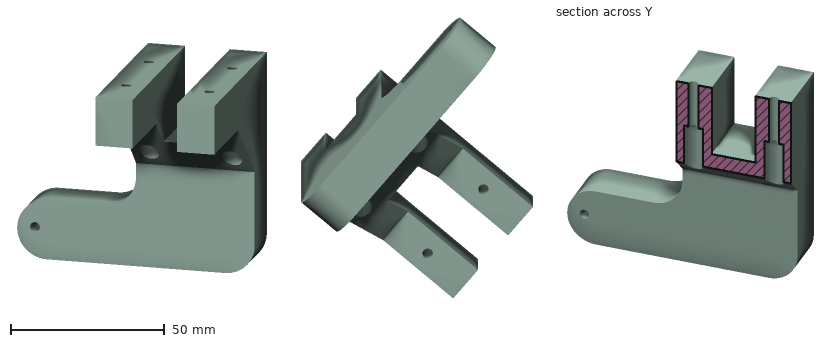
import cadquery as cq

length = 80.0
depth = 65.0
height = 71.4

plate_thickness = 15.0
foot_height = 20.0
corner_radius = foot_height / 2
upright_width = 40.0
upright_left = length - upright_width

arm_thickness = 16.4
arm_bottom = height - arm_thickness
gusset_size = 20.0
slot_width = 15.0
slot_depth = 25.0
upright_center = length - upright_width / 2

screw_diameter = 3.4
screw_clearance_diameter = 6.5
screw_spacing = 28.0
rear_screw_offset = 21.0

pivot_diameter = 3.3
pivot_x = 6.0
pivot_z = 10.6


def make_plate():
    """L-shaped plate with a rounded foot, extruded forward from the back face."""
    sketch = (
        cq.Workplane("XZ")
        .moveTo(corner_radius, 0)
        .lineTo(length - corner_radius, 0)
        .radiusArc((length, corner_radius), -corner_radius)
        .lineTo(length, height)
        .lineTo(upright_left, height)
        .lineTo(upright_left, foot_height + corner_radius)
        .radiusArc((upright_left - corner_radius, foot_height), corner_radius)
        .lineTo(corner_radius, foot_height)
        .threePointArc((0, corner_radius), (corner_radius, 0))
        .close()
    )
    return sketch.extrude(plate_thickness)


def make_arm_block():
    """Full-width arm block and its sloping gusset, before the fork slot is cut."""
    gusset_front = -(plate_thickness + gusset_size)
    profile = [
        (0, height),
        (-depth, height),
        (-depth, arm_bottom),
        (gusset_front, arm_bottom),
        (-plate_thickness, arm_bottom - gusset_size),
        (0, arm_bottom - gusset_size),
    ]
    block = cq.Workplane("YZ").polyline(profile).close().extrude(upright_width)
    return block.translate((upright_left, 0, 0))


def make_slot():
    """Open-topped slot that splits the block into two arms."""
    return (
        cq.Workplane("XY", origin=(upright_center, -depth / 2, height - slot_depth))
        .rect(slot_width, depth)
        .extrude(slot_depth)
    )


def make_screw_cutters():
    """Four through holes, with screw head clearance bored up through the gusset at the rear pair."""
    rear_y = -rear_screw_offset
    front_y = rear_y - screw_spacing
    columns = [upright_center - screw_spacing / 2, upright_center + screw_spacing / 2]
    holes = (
        cq.Workplane("XY")
        .workplane(offset=arm_bottom)
        .pushPoints([(x, y) for x in columns for y in (rear_y, front_y)])
        .circle(screw_diameter / 2)
        .extrude(arm_thickness)
    )
    clearance_bottom = arm_bottom - gusset_size
    clearances = (
        cq.Workplane("XY")
        .workplane(offset=clearance_bottom)
        .pushPoints([(x, rear_y) for x in columns])
        .circle(screw_clearance_diameter / 2)
        .extrude(gusset_size)
    )
    return holes.union(clearances)


def make_pivot_cutter():
    """Hole through the foot, front to back."""
    return (
        cq.Workplane("XZ", origin=(pivot_x, 0, pivot_z))
        .circle(pivot_diameter / 2)
        .extrude(plate_thickness)
    )


result = (
    make_plate()
    .union(make_arm_block())
    .cut(make_slot())
    .cut(make_screw_cutters())
    .cut(make_pivot_cutter())
)